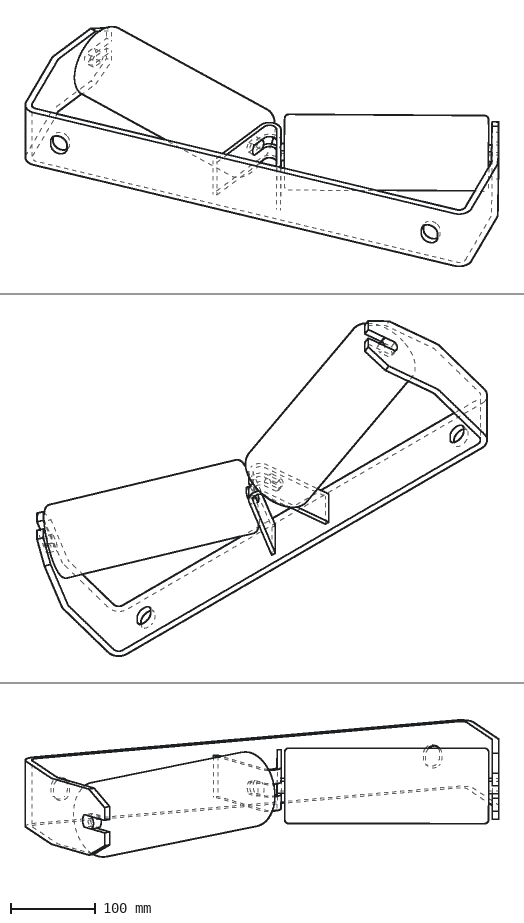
import cadquery as cq
import math


TILT = 20.0
SIN = math.sin(math.radians(TILT))
COS = math.cos(math.radians(TILT))
STRIP_WIDTH = 80.0

FRAME_LENGTH = 560.0
FRAME_THICKNESS = 8.0
FRAME_BEND_RADIUS = 2 * FRAME_THICKNESS
ARM_BEND_Y = 104.0
ARM_LENGTH = 97.5
ARM_CHAMFER_LENGTH = 28.5
ARM_CHAMFER_WIDTH = 17.0
MOUNT_SLOT_WIDTH = 20.0
MOUNT_SLOT_HEIGHT = 26.5
MOUNT_SLOT_X = 233.0

BRACKET_WIDTH = 50.0
BRACKET_THICKNESS = 5.0
BRACKET_FOOT_X = 42.5
BRACKET_TOP_Y = 98.5

ROLLER_DIAMETER = 89.0
ROLLER_LENGTH = 240.0
ROLLER_FILLET = 5.0
SHAFT_DIAMETER = 20.0
SHAFT_FLATS = 15.0
SHAFT_ON_ARM = 67.0

HALF_LENGTH = FRAME_LENGTH / 2
ARM_ROOT = (-HALF_LENGTH, ARM_BEND_Y)
BRACKET_ROOT = (-BRACKET_FOOT_X, FRAME_THICKNESS)
SHAFT_START = (ARM_ROOT[0] + SHAFT_ON_ARM * SIN, ARM_ROOT[1] + SHAFT_ON_ARM * COS)
ARM_TO_BRACKET = (BRACKET_ROOT[0] - SHAFT_START[0]) * COS - (BRACKET_ROOT[1] - SHAFT_START[1]) * SIN
SHAFT_LENGTH = ARM_TO_BRACKET + BRACKET_THICKNESS
ROLLER_START = (FRAME_THICKNESS + ARM_TO_BRACKET - ROLLER_LENGTH) / 2


def mirrored(body):
    """The same body on the other side of the YZ plane."""
    return body.mirror("YZ")


def roller_axis_plane():
    """Plane at the left shaft end: normal along the axis, local X along the arm, local Y along Z."""
    return cq.Plane(origin=(*SHAFT_START, 0), xDir=(SIN, COS, 0), normal=(COS, -SIN, 0))


def arm_point(along, inward):
    """Point on the left arm, measured along it from the bend and inward from its outer face."""
    return (ARM_ROOT[0] + along * SIN + inward * COS, ARM_ROOT[1] + along * COS - inward * SIN)


def shaft_profile(start, length):
    """Round shaft with two flats, from a distance along the left roller axis."""
    plane = roller_axis_plane()
    shaft = cq.Workplane(plane).workplane(offset=start).circle(SHAFT_DIAMETER / 2).extrude(length)
    flats = cq.Workplane(plane).workplane(offset=start).rect(SHAFT_DIAMETER, SHAFT_FLATS).extrude(length)
    return shaft.intersect(flats)


def open_slot(start, depth, length):
    """Shaft slot cut through a plate, open beyond the shaft in the arm direction."""
    channel = (
        cq.Workplane(roller_axis_plane())
        .workplane(offset=start)
        .center(length / 2, 0)
        .rect(length, SHAFT_FLATS)
        .extrude(depth)
    )
    return channel.union(shaft_profile(start, depth))


def arm_tip_chamfers():
    """Triangular prisms that trim both corners of the left arm tip."""
    tip = ARM_LENGTH - SHAFT_ON_ARM
    edge = STRIP_WIDTH / 2
    prisms = cq.Workplane(roller_axis_plane())
    for side in (-1, 1):
        prisms = (
            prisms.moveTo(tip, side * edge)
            .lineTo(tip - ARM_CHAMFER_LENGTH, side * edge)
            .lineTo(tip, side * (edge - ARM_CHAMFER_WIDTH))
            .close()
        )
    return prisms.extrude(FRAME_THICKNESS)


def make_frame():
    bend_shift = FRAME_THICKNESS * math.tan(math.radians(TILT / 2))
    inner_root = (-HALF_LENGTH + FRAME_THICKNESS, ARM_BEND_Y - bend_shift)
    left_outline = [
        (0, 0),
        (-HALF_LENGTH, 0),
        ARM_ROOT,
        arm_point(ARM_LENGTH, 0),
        arm_point(ARM_LENGTH, FRAME_THICKNESS),
        inner_root,
        (-HALF_LENGTH + FRAME_THICKNESS, FRAME_THICKNESS),
        (0, FRAME_THICKNESS),
    ]
    half = cq.Workplane("XY").polyline(left_outline).close().extrude(STRIP_WIDTH / 2, both=True)

    outer_bends = [(-HALF_LENGTH, 0), ARM_ROOT]
    inner_bends = [(-HALF_LENGTH + FRAME_THICKNESS, FRAME_THICKNESS), inner_root]
    for bends, radius in (
        (outer_bends, FRAME_BEND_RADIUS),
        (inner_bends, FRAME_BEND_RADIUS - FRAME_THICKNESS),
    ):
        for x, y in bends:
            half = half.edges(cq.selectors.NearestToPointSelector((x, y, 0))).fillet(radius)

    half = half.cut(arm_tip_chamfers())
    half = half.cut(open_slot(0, FRAME_THICKNESS, ARM_LENGTH))
    mount_slot = (
        cq.Workplane("XZ")
        .center(-MOUNT_SLOT_X, 0)
        .slot2D(MOUNT_SLOT_HEIGHT, MOUNT_SLOT_WIDTH, 90)
        .extrude(-FRAME_THICKNESS)
    )
    half = half.cut(mount_slot)
    return half.union(mirrored(half))


def make_bracket():
    rise = BRACKET_TOP_Y - FRAME_THICKNESS
    outer_radius = (BRACKET_FOOT_X * COS - rise * SIN) / (1 - SIN)
    centre_y = BRACKET_TOP_Y - outer_radius
    inner_radius = outer_radius - BRACKET_THICKNESS
    inner_foot_x = BRACKET_FOOT_X - BRACKET_THICKNESS / COS

    def tangent(radius):
        return (radius * COS, centre_y + radius * SIN)

    outer_x, outer_y = tangent(outer_radius)
    inner_x, inner_y = tangent(inner_radius)
    bracket = (
        cq.Workplane("XY")
        .moveTo(-BRACKET_FOOT_X, FRAME_THICKNESS)
        .lineTo(-outer_x, outer_y)
        .threePointArc((0, BRACKET_TOP_Y), (outer_x, outer_y))
        .lineTo(BRACKET_FOOT_X, FRAME_THICKNESS)
        .lineTo(inner_foot_x, FRAME_THICKNESS)
        .lineTo(inner_x, inner_y)
        .threePointArc((0, centre_y + inner_radius), (-inner_x, inner_y))
        .lineTo(-inner_foot_x, FRAME_THICKNESS)
        .close()
        .extrude(BRACKET_WIDTH / 2, both=True)
    )
    slot = open_slot(ARM_TO_BRACKET, outer_radius, BRACKET_TOP_Y)
    return bracket.cut(slot).cut(mirrored(slot))


def make_roller():
    """Left roller with its shaft, whose ends are flush with the far faces of arm and bracket."""
    barrel = (
        cq.Workplane(roller_axis_plane())
        .workplane(offset=ROLLER_START)
        .circle(ROLLER_DIAMETER / 2)
        .extrude(ROLLER_LENGTH)
        .edges()
        .fillet(ROLLER_FILLET)
    )
    return barrel.union(shaft_profile(0, SHAFT_LENGTH))


frame = make_frame()
bracket = make_bracket()
left_roller = make_roller()
rollers = [left_roller, mirrored(left_roller)]

result = cq.Compound.makeCompound([frame.val(), bracket.val(), *[roller.val() for roller in rollers]])